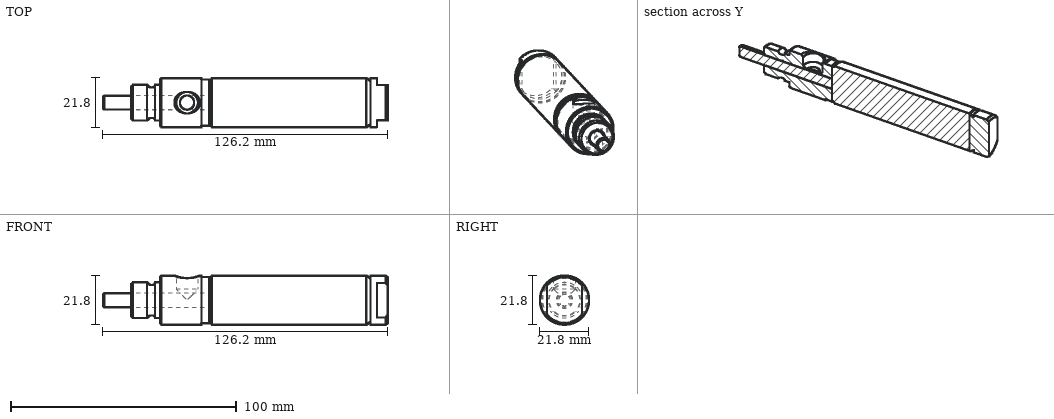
import cadquery as cq
import math

LENGTH = 126.2
BODY_DIAMETER = 21.8
BODY_RADIUS = BODY_DIAMETER / 2

ROD_RADIUS = 3.2
ROD_TIP_CHAMFER = 0.6

NOSE_FRONT = 12.5
NOSE_RADIUS = 8.0
NOSE_CHAMFER = 0.9
BORE_CHAMFER = 0.5

UNDERCUT_FRONT = 19.5
UNDERCUT_WALL = 23.0
UNDERCUT_RADIUS = 6.8
UNDERCUT_FILLET = 0.9

SHOULDER = 25.2
SHOULDER_CHAMFER = 0.8
SKIRT_FRONT = 43.5
SKIRT_RADIUS = 10.3
HEAD_BACK = 47.0

PORT_X = 37.2
PORT_RADIUS = 4.8
PORT_MOUTH_RADIUS = 5.7
PORT_DRILL_DEPTH = 6.0
PORT_PASSAGE_RADIUS = 3.2

BARREL_LIP_DEPTH = 0.6
BARREL_LIP_LENGTH = 0.5
BARREL_TAPER_FRONT = 47.8
BARREL_FULL_FRONT = 48.3
BARREL_BACK = 116.4

CAP_GROOVE_FRONT = 116.7
CAP_GROOVE_WALL = 118.4
CAP_GROOVE_DEPTH = 1.3
CAP_CHAMFER_LENGTH = 1.1
CAP_CHAMFER_DEPTH = 0.8
FLAT_FRONT = 121.4
FLAT_HALF_WIDTH = 7.8

FULL_TURN = 360


def revolve_about_x(profile):
    """Turn a profile in the XZ plane, drawn as (X, radius), into a solid around the X axis."""
    return profile.revolve(FULL_TURN, (0, 0, 0), (1, 0, 0))


def make_rod():
    """Chamfered rod that ends flush with the back of the head."""
    rod = cq.Workplane("YZ").circle(ROD_RADIUS).extrude(HEAD_BACK)
    return rod.faces("<X").chamfer(ROD_TIP_CHAMFER)


def make_head_blank():
    """Nose, undercut, shoulder and skirt turned around the rod bore."""
    arc_reach = UNDERCUT_FILLET * math.sin(math.radians(45))
    arc_rise = UNDERCUT_FILLET - arc_reach
    cone_foot_radius = UNDERCUT_RADIUS + arc_rise
    cone_foot = UNDERCUT_FRONT + NOSE_RADIUS - cone_foot_radius
    floor_front = cone_foot + arc_reach
    floor_back = UNDERCUT_WALL - UNDERCUT_FILLET
    back_arc_middle = (floor_back + arc_reach, UNDERCUT_RADIUS + arc_rise)
    back_arc_end = (UNDERCUT_WALL, UNDERCUT_RADIUS + UNDERCUT_FILLET)
    profile = (
        cq.Workplane("XZ")
        .moveTo(NOSE_FRONT + BORE_CHAMFER, ROD_RADIUS)
        .lineTo(NOSE_FRONT, ROD_RADIUS + BORE_CHAMFER)
        .lineTo(NOSE_FRONT, NOSE_RADIUS - NOSE_CHAMFER)
        .lineTo(NOSE_FRONT + NOSE_CHAMFER, NOSE_RADIUS)
        .lineTo(UNDERCUT_FRONT, NOSE_RADIUS)
        .lineTo(cone_foot, cone_foot_radius)
        .tangentArcPoint((floor_front, UNDERCUT_RADIUS), relative=False)
        .lineTo(floor_back, UNDERCUT_RADIUS)
        .threePointArc(back_arc_middle, back_arc_end)
        .lineTo(UNDERCUT_WALL, NOSE_RADIUS)
        .lineTo(SHOULDER, NOSE_RADIUS)
        .lineTo(SHOULDER, BODY_RADIUS - SHOULDER_CHAMFER)
        .lineTo(SHOULDER + SHOULDER_CHAMFER, BODY_RADIUS)
        .lineTo(SKIRT_FRONT, BODY_RADIUS)
        .lineTo(SKIRT_FRONT, SKIRT_RADIUS)
        .lineTo(HEAD_BACK, SKIRT_RADIUS)
        .lineTo(HEAD_BACK, ROD_RADIUS)
        .close()
    )
    return revolve_about_x(profile)


def make_port():
    """Countersunk port with a 45 degree drill shoulder and a passage down to the rod."""
    shoulder_top = BODY_RADIUS - PORT_DRILL_DEPTH
    shoulder_bottom = shoulder_top - (PORT_RADIUS - PORT_PASSAGE_RADIUS)
    mouth_bottom = math.sqrt(BODY_RADIUS**2 - PORT_RADIUS**2)
    profile = (
        cq.Workplane("YZ", origin=(PORT_X, 0, 0))
        .polyline(
            [
                (0, 0),
                (PORT_PASSAGE_RADIUS, 0),
                (PORT_PASSAGE_RADIUS, shoulder_bottom),
                (PORT_RADIUS, shoulder_top),
                (PORT_RADIUS, mouth_bottom),
                (PORT_MOUTH_RADIUS, BODY_RADIUS),
                (0, BODY_RADIUS),
            ]
        )
        .close()
    )
    return profile.revolve(FULL_TURN, (0, 0, 0), (0, 1, 0))


def make_head():
    """Head with the port opening at its top."""
    return make_head_blank().cut(make_port())


def make_barrel():
    """Barrel with a stepped, tapered front lip; its back face meets the rear cap."""
    profile = (
        cq.Workplane("XZ")
        .polyline(
            [
                (HEAD_BACK, 0),
                (HEAD_BACK, SKIRT_RADIUS - BARREL_LIP_DEPTH),
                (HEAD_BACK + BARREL_LIP_LENGTH, SKIRT_RADIUS),
                (BARREL_TAPER_FRONT, SKIRT_RADIUS),
                (BARREL_FULL_FRONT, BODY_RADIUS),
                (BARREL_BACK, BODY_RADIUS),
                (BARREL_BACK, 0),
            ]
        )
        .close()
    )
    return revolve_about_x(profile)


def make_rear_cap():
    """Cap with a V groove at the barrel, a chamfered end and two wrench flats."""
    profile = (
        cq.Workplane("XZ")
        .polyline(
            [
                (BARREL_BACK, 0),
                (BARREL_BACK, BODY_RADIUS),
                (CAP_GROOVE_FRONT, BODY_RADIUS),
                (CAP_GROOVE_WALL, BODY_RADIUS - CAP_GROOVE_DEPTH),
                (CAP_GROOVE_WALL, BODY_RADIUS),
                (LENGTH - CAP_CHAMFER_LENGTH, BODY_RADIUS),
                (LENGTH, BODY_RADIUS - CAP_CHAMFER_DEPTH),
                (LENGTH, 0),
            ]
        )
        .close()
    )
    cap = revolve_about_x(profile)
    for side in (-1, 1):
        flat_cut = cq.Workplane("XY").box(
            LENGTH - FLAT_FRONT,
            BODY_RADIUS - FLAT_HALF_WIDTH,
            BODY_DIAMETER,
        )
        middle_x = (LENGTH + FLAT_FRONT) / 2
        middle_y = side * (BODY_RADIUS + FLAT_HALF_WIDTH) / 2
        cap = cap.cut(flat_cut.translate((middle_x, middle_y, 0)))
    return cap


rod = make_rod()
head = make_head()
barrel = make_barrel()
rear_cap = make_rear_cap()

result = cq.Compound.makeCompound([rod.val(), head.val(), barrel.val(), rear_cap.val()])